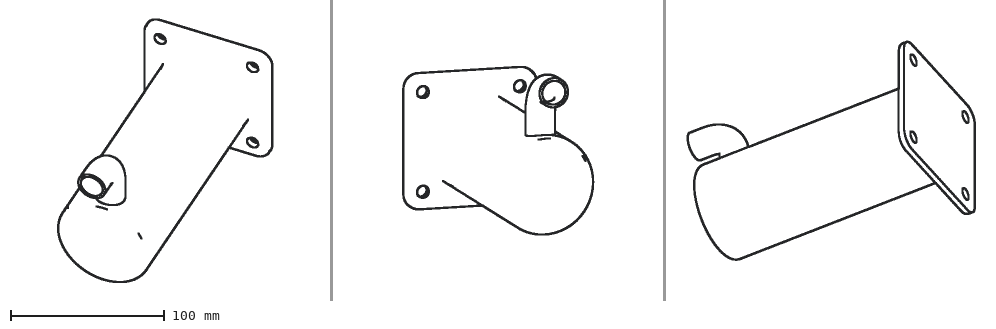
import cadquery as cq

flange_side = 90.0
flange_thickness = 5.0
flange_corner_radius = 10.0
flange_edge_fillet = 2.0
hole_spacing = 66.0
hole_diameter = 8.0

body_diameter = 66.0
body_end = 167.0
body_edge_fillet = 2.0
junction_fillet = 2.0

pipe_diameter = 19.5
pipe_bore = 15.7
bend_radius = 19.6
outlet_end = 185
outlet_length = 10.0
overall_height = 119.5
outlet_height = overall_height - flange_side / 2 - pipe_diameter / 2
bend_start_height = outlet_height - bend_radius
riser_y = -(outlet_end - outlet_length - bend_radius)


def make_flange():
    plate = cq.Workplane("XZ").rect(flange_side, flange_side).extrude(flange_thickness)
    plate = plate.edges("|Y").fillet(flange_corner_radius)
    return plate.faces("<Y").edges().fillet(flange_edge_fillet)


def make_mounting_holes():
    return (
        cq.Workplane("XZ")
        .rect(hole_spacing, hole_spacing, forConstruction=True)
        .vertices()
        .circle(hole_diameter / 2)
        .extrude(flange_thickness)
    )


def make_body():
    body = cq.Workplane("XZ").circle(body_diameter / 2).extrude(body_end)
    return body.faces("<Y").edges().fillet(body_edge_fillet)


def make_flanged_body():
    """Body and flange joined with a concave fillet around their junction."""
    joined = make_flange().union(make_body())
    reach = body_diameter / 2 + junction_fillet
    half_depth = junction_fillet / 2
    junction = cq.selectors.BoxSelector(
        (-reach, -flange_thickness - half_depth, -reach),
        (reach, -flange_thickness + half_depth, reach),
    )
    return joined.edges(junction).fillet(junction_fillet)


def sweep_pipe(diameter):
    """Solid rod along the pipe centreline, starting on the body axis."""
    bend_end_y = riser_y - bend_radius
    centreline = (
        cq.Workplane("YZ")
        .moveTo(riser_y, 0)
        .lineTo(riser_y, bend_start_height)
        .tangentArcPoint((bend_end_y, outlet_height), relative=False)
        .lineTo(-outlet_end, outlet_height)
    )
    return cq.Workplane("XY", origin=(0, riser_y, 0)).circle(diameter / 2).sweep(centreline)


pipe = sweep_pipe(pipe_diameter).cut(sweep_pipe(pipe_bore))
result = pipe.union(make_flanged_body()).cut(make_mounting_holes())